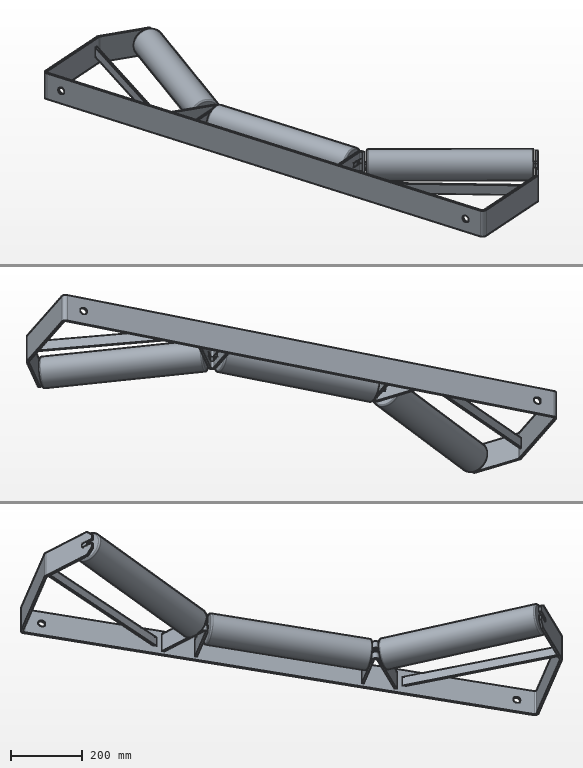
import cadquery as cq
import math


thickness = 6.3
trough_angle = 35.0

frame_width = 80.0
frame_length = 1490.0
frame_bend_radius = 12.0
upright_height = 268.0
wing_length = 171.0
wing_tip_chamfer = 18.0
hole_diameter = 21.0
hole_spacing = 1368.0

roller_diameter = 90.0
roller_length = 465.0
roller_edge_radius = 5.0
shaft_diameter = 20.0
shaft_flat_width = 13.0
middle_gap = 5.0
side_gap = 6.0
middle_roller_height = 100.0
side_roller_seat = 145.0

bracket_width = 60.0
bracket_bend_radius = 10.0

brace_width = 30.0
brace_top = 255.0
brace_foot_x = 353.0

half_length = frame_length / 2
tilt = math.radians(trough_angle)
slot_reach = wing_length
roller_axis = cq.Vector(math.cos(tilt), -math.sin(tilt))
wing_axis = cq.Vector(math.sin(tilt), math.cos(tilt))
x_axis = cq.Vector(1, 0)
y_axis = cq.Vector(0, 1)
z_axis = cq.Vector(0, 0, 1)

wing_corner = cq.Vector(-half_length, upright_height)
middle_shaft_length = roller_length + 2 * (middle_gap + thickness)
side_shaft_length = roller_length + 2 * (side_gap + thickness)
middle_centre = y_axis * middle_roller_height
side_centre = wing_corner + wing_axis * side_roller_seat + roller_axis * (side_shaft_length / 2)


def plate(points, width):
    """Flat body with the given XY outline, centred on Z = 0."""
    outline = [(point.x, point.y) for point in points]
    return cq.Workplane("XY").polyline(outline).close().extrude(width / 2, both=True)


def mirrored(body):
    """The same body on the other side of X = 0."""
    return body.mirror("YZ")


def inner_corner(before, corner, after):
    """Corner of the inside face at a left-hand bend of the outside face."""
    arriving = (corner - before).normalized()
    leaving = (after - corner).normalized()
    return corner + (leaving - arriving) * (thickness / arriving.cross(leaving).z)


def bent_bar(path, width, bend_radius):
    """Flat bar whose outside face follows a path of left-hand bends."""
    first_normal = z_axis.cross((path[1] - path[0]).normalized())
    last_normal = z_axis.cross((path[-1] - path[-2]).normalized())
    outer_bends = path[1:-1]
    inner_bends = [inner_corner(*corners) for corners in zip(path, path[1:], path[2:])]
    ends = [path[-1] + last_normal * thickness, path[0] + first_normal * thickness]
    bar = plate(path + ends[:1] + inner_bends[::-1] + ends[1:], width)
    for bends, radius in ((outer_bends, bend_radius), (inner_bends, bend_radius - thickness)):
        for bend in bends:
            bar = bar.edges(cq.selectors.NearestToPointSelector(bend.toTuple())).fillet(radius)
    return bar


def flatted_shaft(centre, axis, length):
    """Shaft with two flats parallel to its own axis and to the XY plane."""
    plane = cq.Plane(origin=centre - axis * (length / 2), xDir=z_axis, normal=axis)
    flats = cq.Workplane(plane).rect(shaft_flat_width, shaft_diameter).extrude(length)
    return cq.Workplane(plane).circle(shaft_diameter / 2).extrude(length).intersect(flats)


def shaft_slot(shaft_centre, end_direction, shaft_length, upward):
    """Cutter for the open-topped slot that holds one end of a shaft in a bar."""
    centre = shaft_centre + end_direction * ((shaft_length - thickness) / 2)
    plane = cq.Plane(origin=centre + upward * (slot_reach / 2), xDir=upward, normal=end_direction)
    opening = cq.Workplane(plane).box(slot_reach, shaft_flat_width, thickness)
    return opening.union(flatted_shaft(centre, end_direction, thickness))


wing_slot = shaft_slot(side_centre, -roller_axis, side_shaft_length, wing_axis)
slanted_leg_slot = shaft_slot(side_centre, roller_axis, side_shaft_length, wing_axis)
upright_leg_slot = shaft_slot(middle_centre, -x_axis, middle_shaft_length, y_axis)


def make_frame():
    wing_tip = wing_corner + wing_axis * wing_length
    left_path = [wing_tip, wing_corner, cq.Vector(-half_length, 0)]
    right_path = [cq.Vector(-point.x, point.y) for point in reversed(left_path)]
    frame = bent_bar(left_path + right_path, frame_width, frame_bend_radius)

    tip_middle = wing_tip + roller_axis * (thickness / 2)
    for x in (tip_middle.x, -tip_middle.x):
        for z in (-frame_width / 2, frame_width / 2):
            corner = cq.selectors.NearestToPointSelector((x, tip_middle.y, z))
            frame = frame.edges(corner).chamfer(wing_tip_chamfer)

    frame = frame.cut(wing_slot).cut(mirrored(wing_slot))
    holes = (
        cq.Workplane("XZ")
        .pushPoints([(-hole_spacing / 2, 0), (hole_spacing / 2, 0)])
        .circle(hole_diameter / 2)
        .extrude(-thickness)
    )
    return frame.cut(holes)


def make_bracket():
    """Left-hand bracket: an upright and a slanted leg standing on the base, joined by a bend."""
    upright_x = -roller_length / 2 - middle_gap
    slanted_start = wing_corner + roller_axis * (side_shaft_length - thickness)
    top = slanted_start + wing_axis * ((upright_x - slanted_start.x) / wing_axis.x)
    slanted_length = top.y / wing_axis.y
    path = [cq.Vector(upright_x, 0), top, top - wing_axis * slanted_length]
    bracket = bent_bar(path, bracket_width, bracket_bend_radius)
    base = cq.Workplane("XY").box(frame_length, 2 * thickness, frame_width)
    return bracket.cut(base).cut(slanted_leg_slot).cut(upright_leg_slot)


def make_brace():
    """Left-hand brace from the upright down to the base."""
    upright_x = -half_length + thickness
    top = cq.Vector(upright_x, brace_top)
    foot = cq.Vector(-brace_foot_x, thickness)
    angle = math.atan2(top.y - foot.y, foot.x - top.x)
    lower_top = top - y_axis * (thickness / math.cos(angle))
    lower_foot = foot - x_axis * (thickness / math.sin(angle))
    return plate([lower_top, lower_foot, foot, top], brace_width)


def make_roller(centre, axis, shaft_length):
    """Roller barrel with its shaft, which ends flush with the far faces of the bars."""
    plane = cq.Plane(origin=centre - axis * (roller_length / 2), xDir=z_axis, normal=axis)
    barrel = cq.Workplane(plane).circle(roller_diameter / 2).extrude(roller_length)
    barrel = barrel.edges("%CIRCLE").fillet(roller_edge_radius)
    return barrel.union(flatted_shaft(centre, axis, shaft_length))


frame = make_frame()
bracket = make_bracket()
brace = make_brace()
middle_roller = make_roller(middle_centre, x_axis, middle_shaft_length)
side_roller = make_roller(side_centre, roller_axis, side_shaft_length)

solids = [frame.val(), middle_roller.val()]
for left_body in (bracket, brace, side_roller):
    solids += [left_body.val(), mirrored(left_body).val()]
result = cq.Compound.makeCompound(solids)